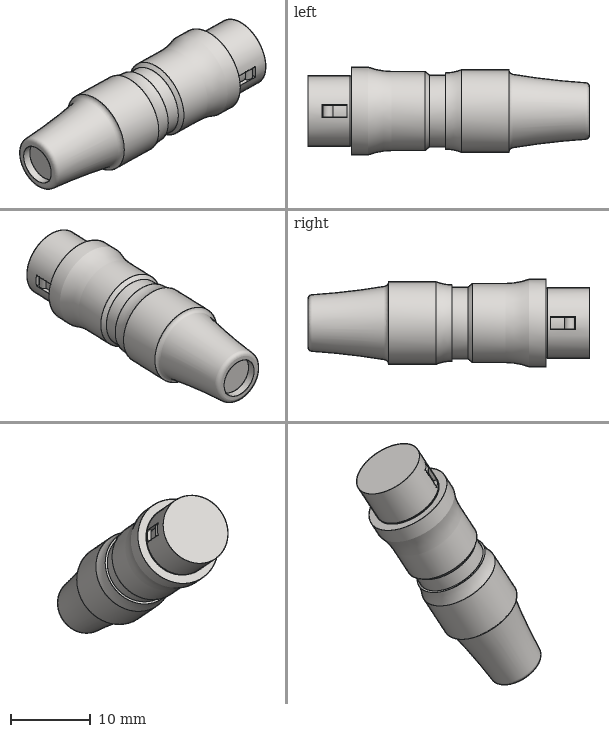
import cadquery as cq
import math

length = 35.3
y_front = length / 2
y_back = -length / 2

plug_radius = 4.45
relief_radius = 4.4
collar_radius = 5.5
grip_radius = 4.98
groove_radius = 4.52
nut_nose_radius = 4.8
nut_radius = 5.2
boot_root_radius = 4.7
boot_tip_radius = 3.53

y_relief = 12.4
y_collar = 12.2
y_flare = 10.1
y_grip = 7.13
y_grip_end = 2.95
y_groove = 2.45
y_nut_nose = 0.42
y_nut = -1.6
y_boot = -7.55

boot_sag = 0.15
boot_root_fillet = 0.55
boot_tip_fillet = 0.53
selection_margin = 0.05
cable_hole_radius = 2.5
cable_hole_depth = 1.05

window_height = 1.6
window_front = 15.9
window_back = 12.78
window_floor_radius = 3.53
latch_side_gap = 0.07
latch_front_gap = 0.1
latch_radius = 4.0
latch_crest_radius = 4.35
y_latch_crest = 15.18
y_latch_heel = 14.55


def tangent_arc_midpoint(flat_end, steep_end):
    """Middle of an arc that leaves flat_end parallel to the axis and reaches steep_end."""
    rise = steep_end[0] - flat_end[0]
    run = steep_end[1] - flat_end[1]
    radius = (rise**2 + run**2) / (2 * rise)
    half_angle = math.atan2(rise, abs(run))
    return (
        flat_end[0] + radius * (1 - math.cos(half_angle)),
        flat_end[1] + math.copysign(radius * math.sin(half_angle), run),
    )


def make_body():
    """Turned body, with the fillets of the cable boot."""
    flare_top = (collar_radius, y_flare)
    flare_foot = (grip_radius, y_grip)
    nose_foot = (nut_nose_radius, y_nut_nose)
    nose_top = (nut_radius, y_nut)
    boot_middle = ((boot_root_radius + boot_tip_radius) / 2 - boot_sag, (y_boot + y_back) / 2)
    body = (
        cq.Workplane("XY")
        .moveTo(0, y_front)
        .lineTo(plug_radius, y_front)
        .lineTo(plug_radius, y_relief)
        .lineTo(relief_radius, y_relief)
        .lineTo(relief_radius, y_collar)
        .lineTo(collar_radius, y_collar)
        .lineTo(*flare_top)
        .threePointArc(tangent_arc_midpoint(flare_foot, flare_top), flare_foot)
        .lineTo(grip_radius, y_grip_end)
        .lineTo(groove_radius, y_groove)
        .lineTo(groove_radius, y_nut_nose)
        .lineTo(*nose_foot)
        .threePointArc(tangent_arc_midpoint(nose_foot, nose_top), nose_top)
        .lineTo(nut_radius, y_boot)
        .lineTo(boot_root_radius, y_boot)
        .threePointArc(boot_middle, (boot_tip_radius, y_back))
        .lineTo(0, y_back)
        .close()
        .revolve(360, (0, 0, 0), (0, 1, 0))
    )
    body = body.faces("<Y").edges().fillet(boot_tip_fillet)
    shoulder_slab = cq.selectors.BoxSelector(
        (-nut_radius, y_boot - selection_margin, -nut_radius),
        (nut_radius, y_boot + selection_margin, nut_radius),
    )
    boot_root = body.edges(shoulder_slab).edges(cq.selectors.RadiusNthSelector(0))
    return boot_root.fillet(boot_root_fillet)


def make_cable_hole():
    """Blind hole in the cable end."""
    return (
        cq.Workplane("XZ", origin=(0, y_back, 0))
        .circle(cable_hole_radius)
        .extrude(-cable_hole_depth)
    )


def make_window(side):
    """Rectangular window in the plug wall; side is +1 or -1 along X."""
    depth = collar_radius - window_floor_radius
    centre_x = side * (window_floor_radius + depth / 2)
    centre_y = (window_front + window_back) / 2
    return (
        cq.Workplane("XY")
        .box(depth, window_front - window_back, window_height)
        .translate((centre_x, centre_y, 0))
    )


def make_latch(side):
    """Latch arm in a window: a cylindrical tongue with a rounded hook at its front."""
    latch_width = window_height - 2 * latch_side_gap
    y_latch_front = window_front - latch_front_gap
    tongue = (
        cq.Workplane("XZ", origin=(0, y_latch_front, 0))
        .circle(latch_radius)
        .extrude(y_latch_front - window_back)
    )
    slab = (
        cq.Workplane("XY")
        .box(latch_radius - window_floor_radius, length, latch_width)
        .translate((side * (window_floor_radius + latch_radius) / 2, 0, 0))
    )
    heel = (side * latch_radius, y_latch_heel)
    crest = (side * latch_crest_radius, y_latch_crest)
    front = (side * latch_radius, y_latch_front)
    heel_middle = tangent_arc_midpoint(crest, heel)
    front_middle = tangent_arc_midpoint(crest, front)
    hook = (
        cq.Workplane("XY")
        .moveTo(side * window_floor_radius, y_latch_heel)
        .lineTo(*heel)
        .threePointArc(heel_middle, crest)
        .threePointArc(front_middle, front)
        .lineTo(side * window_floor_radius, y_latch_front)
        .close()
        .extrude(latch_width / 2, both=True)
    )
    return tongue.intersect(slab).union(hook)


result = make_body().cut(make_cable_hole())
for side in (-1, 1):
    result = result.cut(make_window(side)).union(make_latch(side))